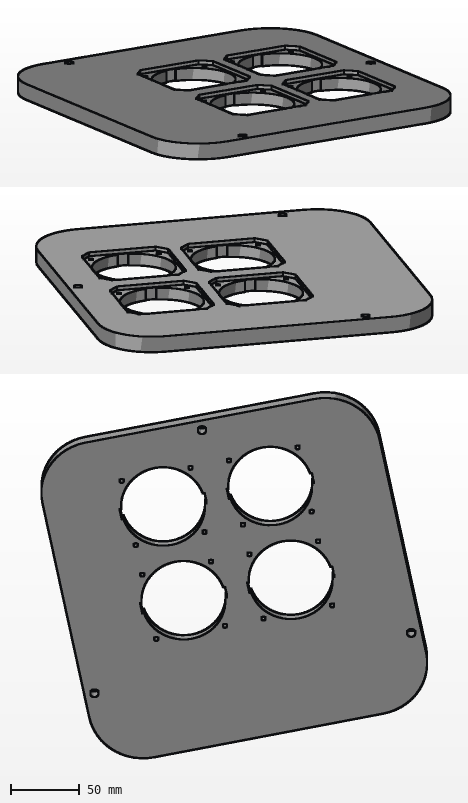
import cadquery as cq

plate_side = 250.0
plate_thickness = 12.0
corner_radius = 40.0

mount_hole_diameter = 6.0
mount_edge_distance = 7.5
side_mount_y = -67.5

station_pitch_x = 79.5
station_pitch_y = 74.5
station_group_x = -0.2
station_group_y = 27.8

seat_side = 65.0
seat_chamfer = 7.5
seat_depth = 3.0

opening_diameter = 61.0
notch_span = 63.0
notch_width = 8.0

screw_hole_diameter = 3.0
screw_hole_spacing = 51.0


def make_plate():
    """Square plate with rounded corners, resting on Z = 0."""
    plate = cq.Workplane("XY").rect(plate_side, plate_side).extrude(plate_thickness)
    return plate.edges("|Z").fillet(corner_radius)


def make_mount_holes():
    """Through holes that fix the plate at three points."""
    reach = plate_side / 2 - mount_edge_distance
    places = [(0, reach), (-reach, side_mount_y), (reach, side_mount_y)]
    return cq.Workplane("XY").pushPoints(places).circle(mount_hole_diameter / 2).extrude(plate_thickness)


def make_station_cutter():
    """Everything removed at one station, centred on the Z axis."""
    seat = (
        cq.Workplane("XY")
        .workplane(offset=plate_thickness - seat_depth)
        .rect(seat_side, seat_side)
        .extrude(seat_depth)
        .edges("|Z")
        .chamfer(seat_chamfer)
    )
    opening = cq.Workplane("XY").circle(opening_diameter / 2).extrude(plate_thickness)
    notches = cq.Workplane("XY").rect(notch_span, notch_width).extrude(plate_thickness)
    screw_holes = (
        cq.Workplane("XY")
        .rect(screw_hole_spacing, screw_hole_spacing, forConstruction=True)
        .vertices()
        .circle(screw_hole_diameter / 2)
        .extrude(plate_thickness)
    )
    return seat.union(opening).union(notches).union(screw_holes)


result = make_plate().cut(make_mount_holes())

station_cutter = make_station_cutter()
for side_x in (-1, 1):
    for side_y in (-1, 1):
        station_x = station_group_x + side_x * station_pitch_x / 2
        station_y = station_group_y + side_y * station_pitch_y / 2
        result = result.cut(station_cutter.translate((station_x, station_y, 0)))